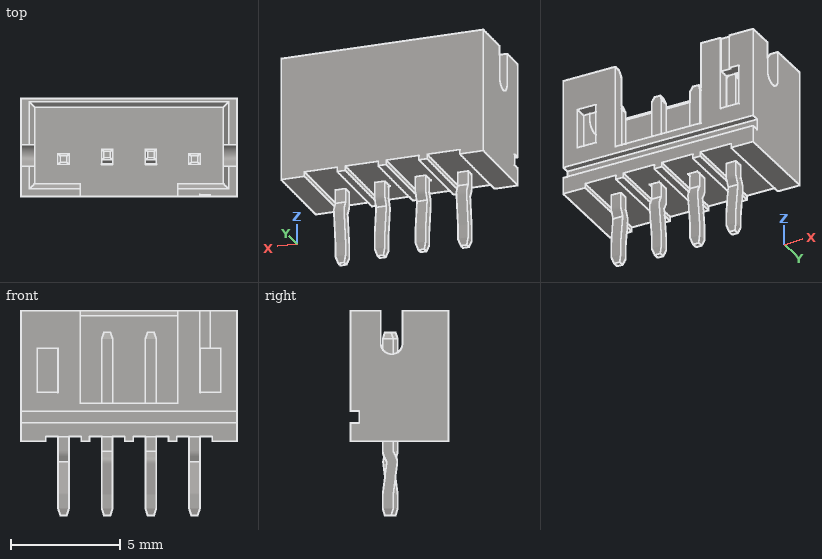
import cadquery as cq
import math


body_length = 9.9
body_depth = 4.5
body_height = 6.0
front_y = -body_depth / 2

side_wall = 0.63
front_wall = 0.6
back_wall = 0.41
floor_z = 1.75
lead_in = 0.25
cavity_length = body_length - 2 * side_wall
cavity_depth = body_depth - front_wall - back_wall
cavity_y = (front_wall - back_wall) / 2

key_width = 4.455
end_slot_width = 0.98
end_slot_depth = 2.0
end_slot_y = front_y + 1.89
window_x = 3.72
window_width = 0.96
window_bottom = 2.25
window_top = 4.27
mark_width = window_width / 2
mark_depth = 0.1

groove_bottom = 0.85
groove_height = 0.54
groove_depth = 0.41
relief_width = 1.6
relief_height = 0.22

pin_count = 4
pin_pitch = 2.0
pin_width = 0.5
pin_thickness = 0.49
pin_top = 5.0
pin_bottom = -3.4
tip_size = 0.3
mating_tip_length = 0.3
solder_tip_length = 0.33
pin_row_y = front_y + 1.72
inner_pin_shift = 0.21

kink_start_z = -0.45
kink_end_z = -2.43
kink_angle = math.radians(27)
kink_length = 0.31

pin_positions = [(i - (pin_count - 1) / 2) * pin_pitch for i in range(pin_count)]


def block(x, y, z):
    """Box spanning the given (low, high) ranges."""
    box = cq.Workplane("XY").box(x[1] - x[0], y[1] - y[0], z[1] - z[0], centered=False)
    return box.translate((x[0], y[0], z[0]))


def centered_range(center, width):
    return (center - width / 2, center + width / 2)


def cavity():
    """Rectangular cavity with a 45 degree lead-in around its mouth."""
    pocket = (
        cq.Workplane("XY", origin=(0, cavity_y, floor_z))
        .rect(cavity_length, cavity_depth)
        .extrude(body_height - floor_z)
    )
    mouth = (
        cq.Workplane("XY", origin=(0, cavity_y, body_height - lead_in))
        .rect(cavity_length, cavity_depth)
        .workplane(offset=lead_in)
        .rect(cavity_length + 2 * lead_in, cavity_depth + 2 * lead_in)
        .loft(ruled=True)
    )
    return pocket.union(mouth)


def end_slots():
    """Round-bottomed slot through both end walls."""
    radius = end_slot_width / 2
    center_z = body_height - end_slot_depth + radius
    return (
        cq.Workplane("YZ", origin=(0, end_slot_y, 0))
        .moveTo(-radius, body_height)
        .lineTo(-radius, center_z)
        .threePointArc((0, center_z - radius), (radius, center_z))
        .lineTo(radius, body_height)
        .close()
        .extrude(body_length / 2, both=True)
    )


def housing():
    front_wall_y = (front_y, front_y + front_wall)
    full_length = (-body_length / 2, body_length / 2)
    full_depth = (front_y, -front_y)

    body = block(full_length, full_depth, (0, body_height))
    body = body.cut(cavity()).cut(end_slots())

    body = body.cut(block(centered_range(0, key_width), front_wall_y, (floor_z, body_height)))

    for x in (-window_x, window_x):
        body = body.cut(block(centered_range(x, window_width), front_wall_y, (window_bottom, window_top)))

    mark_x = (window_x - mark_width, window_x)
    body = body.cut(block(mark_x, (front_y, front_y + mark_depth), (window_top, body_height)))

    groove_z = (groove_bottom, groove_bottom + groove_height)
    body = body.cut(block(full_length, (front_y, front_y + groove_depth), groove_z))

    for x in pin_positions:
        body = body.cut(block(centered_range(x, relief_width), full_depth, (0, relief_height)))
        hole_y = centered_range(pin_row_y, pin_thickness)
        body = body.cut(block(centered_range(x, pin_width), hole_y, (0, floor_z)))
    return body


def taper(base_z, tip_z):
    """Tapered pin end, from the full section to the blunt tip."""
    return (
        cq.Workplane("XY", origin=(0, 0, base_z))
        .rect(pin_width, pin_thickness)
        .workplane(offset=tip_z - base_z)
        .rect(tip_size, tip_size)
        .loft(ruled=True)
    )


def on_circle(center, angle):
    """Point one pin thickness from center, at an angle in the YZ plane."""
    return (center[0] + pin_thickness * math.cos(angle), center[1] + pin_thickness * math.sin(angle))


def pin():
    """Pin whose leg kinks towards +Y; bends have a sharp inside and a round outside."""
    half = pin_thickness / 2
    shoulder_top = pin_top - mating_tip_length
    shoulder_bottom = pin_bottom + solder_tip_length

    kink_step_y = kink_length * math.sin(kink_angle)
    kink_step_z = -kink_length * math.cos(kink_angle)

    first = (half, kink_start_z)
    kink_front = on_circle(first, math.pi + kink_angle)
    second = (kink_front[0] + kink_step_y, kink_front[1] + kink_step_z)
    third = (half, kink_end_z)

    run = third[0] - second[0]
    drop = second[1] - third[1]
    return_angle = math.asin(pin_thickness / math.hypot(run, drop)) - math.atan2(run, drop)

    kink_back = (first[0] + kink_step_y, first[1] + kink_step_z)

    outline = (
        cq.Workplane("YZ")
        .moveTo(-half, shoulder_top)
        .lineTo(-half, kink_start_z)
        .threePointArc(on_circle(first, math.pi + kink_angle / 2), kink_front)
        .lineTo(*second)
        .lineTo(*on_circle(third, math.pi - return_angle))
        .threePointArc(on_circle(third, math.pi - return_angle / 2), (-half, kink_end_z))
        .lineTo(-half, shoulder_bottom)
        .lineTo(half, shoulder_bottom)
        .lineTo(*third)
        .lineTo(*on_circle(second, -return_angle))
        .threePointArc(on_circle(second, (kink_angle - return_angle) / 2), kink_back)
        .lineTo(*first)
        .lineTo(half, shoulder_top)
        .close()
    )
    shaft = outline.extrude(pin_width / 2, both=True)
    return shaft.union(taper(shoulder_top, pin_top)).union(taper(shoulder_bottom, pin_bottom))


result = housing()
outer_pin = pin()
inner_pin = outer_pin.mirror("XZ")

for index, x in enumerate(pin_positions):
    if index in (0, pin_count - 1):
        result = result.union(outer_pin.translate((x, pin_row_y, 0)))
    else:
        result = result.union(inner_pin.translate((x, pin_row_y + inner_pin_shift, 0)))